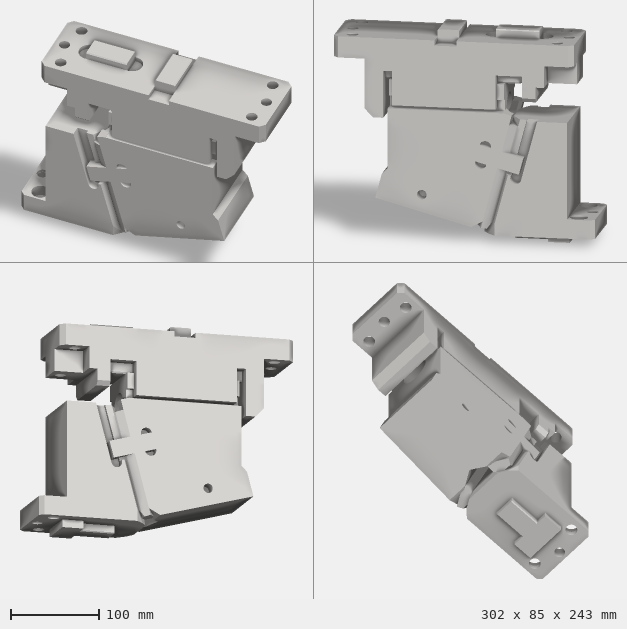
import cadquery as cq
import math

WIDTH = 85.0
HALF = WIDTH / 2
KEY_LENGTH = 50.0
KEY_WIDTH = 25.0
KEY_HEIGHT = 9.0
KEY_CHAMFER = 1.2
KEY_SEAT = 6.0
BOLT_Y = 30.0
HOLE_R = 6.5
DOWEL_R = 6.3

GUIDE_ANGLE = 15.0
GUIDE_FOOT_X = 119.0
RIDGE_ANGLE = 30.0
FLANK_SLOPE = math.tan(math.radians(RIDGE_ANGLE))
RIDGE_TOP_HALF = 17.8
RIDGE_HEIGHT = (HALF - RIDGE_TOP_HALF) * FLANK_SLOPE
GUIDE_REACH = 241.5
SIN = math.sin(math.radians(GUIDE_ANGLE))
COS = math.cos(math.radians(GUIDE_ANGLE))

BASE_PLATE_Z = 22.3
BASE_TOP_Z = 135.0
BASE_BODY_X = 31.7
BASE_END_X = 130.5
BASE_FRONT_CHAMFER = 5.0
BASE_END_CHAMFER = 15.0
BASE_BOLT_X = 20.0
BASE_DOWEL_X = 9.7
COUNTERBORE_R = 10.3
COUNTERBORE_DEPTH = 14.0
BASE_DOWEL_R = 6.0
DOWEL_RECESS_DEPTH = 3.0
BASE_KEY_LENGTH = 40.5

SLOT_T = -9.7
SLOT_R = 6.3
SLOT_BOTTOM_U = 72.5
SLOT_DEPTH = 11.8
LIP_DEPTH = 7.5
LIP_END_U = 73.5
HOOK_U = 88.0
HOOK_WIDTH = 20.0
HOOK_TIP_T = -11.8
RELIEF_T = 33.5
RELIEF_R = 6.5

FACE_T = 14.0
SLIDER_TOP_U = 142.0
SLIDER_BOTTOM_U = 2.5
SLIDER_BACK_T = 139.5
SLIDER_BACK_U = 31.7
SLIDER_NICK_Z = 73.5
SHOULDER_Z = 143.0
NECK_X = 106.0
SLIDER_END_X = 239.0
CORNER_CHAMFER_T = 11.2
CORNER_CHAMFER_U = 10.3
GROOVE_HALF = 28.7
GROOVE_STEP = 4.5
FEET_BOTTOM_U = 4.8
FEET_TOP_U = 130.0
FEET_BEVEL_T = 5.5
FEET_TIP_Y = 35.5
FEET_CHAMFER_T = 3.5
FEET_CHAMFER_U = 9.0
BORE_Z = 140.5
BORE_R = 17.8
SIDE_HOLE_X = 199.3
SIDE_HOLE_Z = 44.0
SIDE_HOLE_R = 5.5
SIDE_HOLE_DEPTH = 15.0

NECK_HALF = 28.0
HEAD_HALF = 33.8
HEAD_BOTTOM_Z = 156.5
HEAD_TOP_Z = 175.0

DRIVER_X = 24.5
DRIVER_END_X = 302.0
DRIVER_TOP_Z = 225.0
DRIVER_PLATE_Z = 200.2
DRIVER_CHAMFER = 6.0
BOSS_X = 58.3
BOSS_HALF = 17.8
TAB_X = 68.3
TAB_END_X = 83.7
TAB_BOTTOM_Z = 156.5
TAB_CHAMFER = 5.0
RAIL_X = 114.2
RAIL_END_X = 233.7
RAIL_BOTTOM_Z = 147.0
WINDOW_TOP_Z = 187.0
LEG_X = 244.0
LEG_END_X = 265.5
LEG_BOTTOM_Z = 132.0
LEG_CHAMFER = 10.0
PAD_HALF = 28.0
PAD_CHAMFER = 1.8
PAD_CHAMFER_Y = 1.2
PAD_RAMP = 7.2
LONG_KEY_X = 69.2
KEY_SLOT_LENGTH = 78.0
CROSS_KEY_X = 159.5
DRIVER_BOLT_X = (45.0, 281.8)
DRIVER_DOWEL_X = (36.8, 287.0)


def guide_point(u, t):
    """(x, z) of a point given in the inclined guide frame."""
    return (GUIDE_FOOT_X + t * COS - u * SIN, t * SIN + u * COS)


def plate_profile(points, half_width):
    """Solid from an XZ outline, centred on Y = 0."""
    return cq.Workplane("XZ").polyline(points).close().extrude(half_width, both=True)


def guide_block(u0, u1, t0, t1, y0, y1):
    """Block aligned with the inclined guide."""
    corners = [guide_point(u0, t0), guide_point(u0, t1), guide_point(u1, t1), guide_point(u1, t0)]
    return cq.Workplane("XZ", origin=(0, y0, 0)).polyline(corners).close().extrude(y0 - y1)


def guide_prism(ty_points, u0, u1):
    """Prism running along the guide from u0 to u1, from an outline in (t, y)."""
    x, z = guide_point(u0, 0)
    plane = cq.Plane(origin=(x, 0, z), xDir=(COS, 0, SIN), normal=(-SIN, 0, COS))
    return cq.Workplane(plane).polyline(ty_points).close().extrude(u1 - u0)


def box(x0, x1, y0, y1, z0, z1):
    return cq.Workplane("XY").box(x1 - x0, y1 - y0, z1 - z0, centered=False).translate((x0, y0, z0))


def both_sides(solid):
    """A feature of the -Y side together with its mirror image."""
    return solid.union(solid.mirror("XZ"))


def vertical_holes(centres, radius, z0, z1):
    return cq.Workplane("XY", origin=(0, 0, z0)).pushPoints(centres).circle(radius).extrude(z1 - z0)


def make_base():
    ridge_end_z = (RIDGE_HEIGHT - (BASE_END_X - GUIDE_FOOT_X) * COS) / SIN
    ridge_top_u = (BASE_TOP_Z - RIDGE_HEIGHT * SIN) / COS
    outline = [
        (0, 0), (BASE_END_X, 0), (BASE_END_X, ridge_end_z),
        guide_point(ridge_top_u, RIDGE_HEIGHT),
        (BASE_BODY_X, BASE_TOP_Z), (BASE_BODY_X, BASE_PLATE_Z), (0, BASE_PLATE_Z),
    ]
    base = plate_profile(outline, HALF)
    base = base.edges("|Z and <X").chamfer(BASE_FRONT_CHAMFER)

    flank = guide_prism([(0, -HALF), (RIDGE_HEIGHT, -RIDGE_TOP_HALF), (RIDGE_HEIGHT, -HALF)],
                        -GUIDE_REACH / 2, GUIDE_REACH)
    corner = (cq.Workplane("XY")
              .polyline([(BASE_END_X - BASE_END_CHAMFER, -HALF), (BASE_END_X, -HALF),
                         (BASE_END_X, -HALF + BASE_END_CHAMFER)])
              .close().extrude(BASE_PLATE_Z))
    base = base.cut(both_sides(flank)).cut(both_sides(corner))

    slot = guide_block(SLOT_BOTTOM_U, GUIDE_REACH, SLOT_T - SLOT_R, SLOT_T + SLOT_R,
                       -HALF, -HALF + SLOT_DEPTH)
    slot_end = (cq.Workplane("XZ", origin=(0, -HALF, 0))
                .pushPoints([guide_point(SLOT_BOTTOM_U, SLOT_T)]).circle(SLOT_R).extrude(-SLOT_DEPTH))
    lip = guide_block(LIP_END_U, GUIDE_REACH, SLOT_T, RIDGE_HEIGHT, -HALF, -HALF + LIP_DEPTH)
    base = base.cut(both_sides(slot.union(slot_end).union(lip)))

    bolts = [(BASE_BOLT_X, -BOLT_Y), (BASE_BOLT_X, BOLT_Y)]
    base = base.cut(vertical_holes(bolts, HOLE_R, 0, BASE_PLATE_Z))
    base = base.cut(vertical_holes(bolts, COUNTERBORE_R, BASE_PLATE_Z - COUNTERBORE_DEPTH, BASE_PLATE_Z))
    dowel = [(BASE_DOWEL_X, 0)]
    base = base.cut(vertical_holes(dowel, BASE_DOWEL_R, 0, BASE_PLATE_Z))
    base = base.cut(vertical_holes(dowel, HOLE_R, BASE_PLATE_Z - DOWEL_RECESS_DEPTH, BASE_PLATE_Z))

    cross_end = BASE_BODY_X + KEY_WIDTH
    cross_key = box(BASE_BODY_X, cross_end, -KEY_LENGTH / 2, KEY_LENGTH / 2, -KEY_HEIGHT, 0)
    long_key = box(cross_end, cross_end + BASE_KEY_LENGTH, -KEY_WIDTH / 2, KEY_WIDTH / 2, -KEY_HEIGHT, 0)
    long_key = long_key.edges("|X and <Z").chamfer(KEY_CHAMFER)
    return base.union(cross_key).union(long_key)


def make_slider():
    shoulder_t = ((NECK_X - GUIDE_FOOT_X) + SLIDER_TOP_U * SIN) / COS
    outline = [
        guide_point(SLIDER_TOP_U, FACE_T), guide_point(SLIDER_TOP_U, shoulder_t),
        (NECK_X, SHOULDER_Z), (SLIDER_END_X, SHOULDER_Z), (SLIDER_END_X, SLIDER_NICK_Z),
        guide_point(SLIDER_BACK_U, SLIDER_BACK_T), guide_point(SLIDER_BOTTOM_U, SLIDER_BACK_T),
        guide_point(SLIDER_BOTTOM_U, FACE_T + CORNER_CHAMFER_T),
        guide_point(SLIDER_BOTTOM_U + CORNER_CHAMFER_U, FACE_T),
    ]
    slider = plate_profile(outline, HALF)

    groove_t = FACE_T + GROOVE_STEP
    groove_apex_t = groove_t + GROOVE_HALF * FLANK_SLOPE
    groove = guide_prism([(0, -GROOVE_HALF), (groove_t, -GROOVE_HALF), (groove_apex_t, 0),
                          (groove_t, GROOVE_HALF), (0, GROOVE_HALF)], -GUIDE_REACH / 2, GUIDE_REACH)
    slider = slider.cut(groove)

    tip_t = (HALF - FEET_TIP_Y) * FLANK_SLOPE
    bevel_y = HALF - (FACE_T - FEET_BEVEL_T) * FLANK_SLOPE
    foot = guide_prism([(FACE_T, -HALF), (FEET_BEVEL_T, -bevel_y), (tip_t, -FEET_TIP_Y),
                        (RIDGE_HEIGHT, -RIDGE_TOP_HALF),
                        (FACE_T + RIDGE_HEIGHT, -RIDGE_TOP_HALF)], FEET_BOTTOM_U, FEET_TOP_U)
    corner = plate_profile([guide_point(FEET_BOTTOM_U, tip_t),
                            guide_point(FEET_BOTTOM_U, tip_t + FEET_CHAMFER_T),
                            guide_point(FEET_BOTTOM_U + FEET_CHAMFER_U, tip_t)], HALF)
    feet = both_sides(foot.cut(corner))
    slider = slider.union(feet)

    neck = box(NECK_X, SLIDER_END_X, -NECK_HALF, NECK_HALF, SHOULDER_Z, HEAD_BOTTOM_Z)
    head = box(NECK_X, SLIDER_END_X, -HEAD_HALF, HEAD_HALF, HEAD_BOTTOM_Z, HEAD_TOP_Z)
    slider = slider.union(neck).union(head)

    bore = cq.Workplane("YZ").center(0, BORE_Z).circle(BORE_R).extrude(DRIVER_END_X)
    slider = slider.cut(bore)

    u0 = HOOK_U - HOOK_WIDTH / 2
    u1 = HOOK_U + HOOK_WIDTH / 2
    relief = (cq.Workplane("XZ", origin=(0, -HALF, 0))
              .pushPoints([guide_point(u0, RELIEF_T), guide_point(u1, RELIEF_T)])
              .circle(RELIEF_R).extrude(-SLOT_DEPTH))
    relief = relief.cut(guide_block(u0, u1, FACE_T, 2 * RELIEF_T, -HALF, -HALF + SLOT_DEPTH))
    arm = guide_block(u0, u1, HOOK_TIP_T, RELIEF_T, -HALF, -HALF + LIP_DEPTH)
    claw = guide_block(u0, u1, HOOK_TIP_T, SLOT_T + SLOT_R, -HALF, -HALF + SLOT_DEPTH)
    slider = slider.cut(both_sides(relief)).union(both_sides(arm.union(claw)))

    side_hole = (cq.Workplane("XZ", origin=(0, -HALF, 0)).center(SIDE_HOLE_X, SIDE_HOLE_Z)
                 .circle(SIDE_HOLE_R).extrude(-SIDE_HOLE_DEPTH))
    point = cq.Workplane(cq.Solid.makeCone(SIDE_HOLE_R, 0, SIDE_HOLE_R / 2,
                                           pnt=(SIDE_HOLE_X, SIDE_HOLE_DEPTH - HALF, SIDE_HOLE_Z),
                                           dir=(0, 1, 0)))
    return slider.cut(both_sides(side_hole.union(point)))


def make_driver():
    plate = box(DRIVER_X, DRIVER_END_X, -HALF, HALF, DRIVER_PLATE_Z, DRIVER_TOP_Z)
    plate = plate.edges("|Z").chamfer(DRIVER_CHAMFER)
    boss = box(DRIVER_X, BOSS_X, -BOSS_HALF, BOSS_HALF, HEAD_TOP_Z, DRIVER_PLATE_Z)
    block = plate_profile([
        (BOSS_X, DRIVER_PLATE_Z), (BOSS_X, HEAD_TOP_Z), (TAB_X, HEAD_TOP_Z), (TAB_X, WINDOW_TOP_Z),
        (RAIL_X, WINDOW_TOP_Z), (RAIL_X, RAIL_BOTTOM_Z), (RAIL_END_X, RAIL_BOTTOM_Z),
        (RAIL_END_X, WINDOW_TOP_Z), (LEG_X, WINDOW_TOP_Z), (LEG_X, LEG_BOTTOM_Z),
        (LEG_END_X - LEG_CHAMFER, LEG_BOTTOM_Z), (LEG_END_X, LEG_BOTTOM_Z + LEG_CHAMFER),
        (LEG_END_X, DRIVER_PLATE_Z),
    ], HALF)

    neck_slot = box(RAIL_X, RAIL_END_X, -NECK_HALF, NECK_HALF, RAIL_BOTTOM_Z, HEAD_BOTTOM_Z)
    head_slot = box(RAIL_X, RAIL_END_X, -HEAD_HALF, HEAD_HALF, HEAD_BOTTOM_Z, HEAD_TOP_Z)
    block = block.cut(neck_slot).cut(head_slot)

    pad_outline = [(-PAD_HALF, WINDOW_TOP_Z), (-PAD_HALF, HEAD_TOP_Z + PAD_CHAMFER),
                   (-PAD_HALF + PAD_CHAMFER_Y, HEAD_TOP_Z), (PAD_HALF - PAD_CHAMFER_Y, HEAD_TOP_Z),
                   (PAD_HALF, HEAD_TOP_Z + PAD_CHAMFER), (PAD_HALF, WINDOW_TOP_Z)]
    pad = (cq.Workplane("YZ", origin=(TAB_END_X, 0, 0)).polyline(pad_outline).close()
           .extrude(LEG_X - TAB_END_X))
    ramp = plate_profile([(TAB_END_X, HEAD_TOP_Z), (TAB_END_X + PAD_RAMP, HEAD_TOP_Z),
                          (TAB_END_X, HEAD_TOP_Z + PAD_CHAMFER)], HALF)
    pad = pad.cut(ramp)

    tab = box(TAB_X, TAB_END_X, -HALF, HALF, TAB_BOTTOM_Z, WINDOW_TOP_Z)
    tab = tab.edges("|X and <Z").chamfer(TAB_CHAMFER)
    driver = plate.union(boss).union(block).union(pad).union(tab)

    bolts = [(x, y) for x in DRIVER_BOLT_X for y in (-BOLT_Y, BOLT_Y)]
    dowels = [(x, 0) for x in DRIVER_DOWEL_X]
    driver = driver.cut(vertical_holes(bolts, HOLE_R, DRIVER_PLATE_Z, DRIVER_TOP_Z))
    driver = driver.cut(vertical_holes(dowels, DOWEL_R, HEAD_TOP_Z, DRIVER_TOP_Z))

    seat_z = DRIVER_TOP_Z - KEY_SEAT
    key_top = DRIVER_TOP_Z + KEY_HEIGHT
    long_slot = (cq.Workplane("XY", origin=(LONG_KEY_X + KEY_LENGTH / 2, 0, seat_z))
                 .slot2D(KEY_SLOT_LENGTH, KEY_WIDTH).extrude(KEY_SEAT))
    cross_slot = box(CROSS_KEY_X, CROSS_KEY_X + KEY_WIDTH, -HALF, HALF, seat_z, DRIVER_TOP_Z)
    long_key = box(LONG_KEY_X, LONG_KEY_X + KEY_LENGTH, -KEY_WIDTH / 2, KEY_WIDTH / 2, seat_z, key_top)
    long_key = long_key.edges("|X and >Z").chamfer(KEY_CHAMFER)
    cross_key = box(CROSS_KEY_X, CROSS_KEY_X + KEY_WIDTH, -KEY_LENGTH / 2, KEY_LENGTH / 2, seat_z, key_top)
    cross_key = cross_key.edges("|Y and >Z").chamfer(KEY_CHAMFER)
    return driver.cut(long_slot).cut(cross_slot).union(long_key).union(cross_key)


base = make_base()
slider = make_slider()
driver = make_driver()

result = cq.Compound.makeCompound([base.solids().val(), slider.solids().val(), driver.solids().val()])